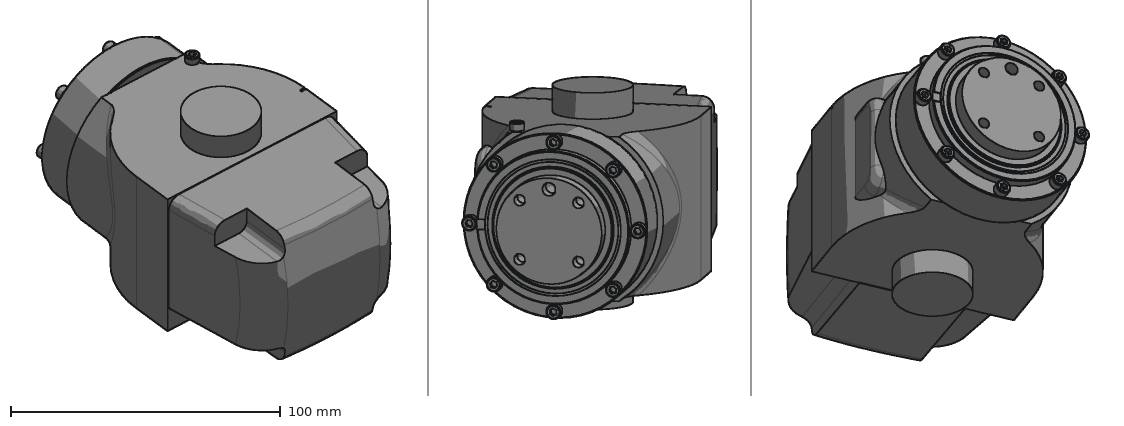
import cadquery as cq
import math


flange_face = -72.0
seal_face = -66.1
ring_face = -65.7
screw_face = -65.1
cover_face = -61.8
arm_face = -44.6
barrel_end = 18.0
housing_end = 66.0

barrel_radius = 41.0
barrel_height = 62.1
trunnion_diameter = 30.0
trunnion_span = 82.0
arm_diameter = 74.2
arm_blend = 4.1
mark_width = 1.0
mark_length = 2.2
mark_depth = 0.7

flange_diameter = 40.0
cover_diameter = 70.0
ring_diameter = 58.0
edge_chamfer = 0.4
groove_depth = 0.4
outer_groove = (51.6, 49.7)
inner_groove = (46.2, 45.4)
seal_chamfer = 0.3
key_width = 3.9
bolt_offset = 11.2
bolt_hole_diameter = 4.1
dowel_hole_diameter = 5.0
flange_hole_depth = 5.5
drill_tip_angle = 118.0

screw_diameter = 5.5
socket_diameter = 2.9
socket_depth = 2.1
cover_screw_count = 8
cover_screw_circle = cover_diameter - screw_diameter - edge_chamfer
arm_screw_x = -39.7
arm_screw_y = 19.6
arm_screw_height = 3.0

pad_start = -32.4
pad_end = -11.0
pad_face = 38.1
pad_base = 27.6
pad_height = 41.7
pad_corner = 8.5
pad_edge = 3.9

housing_half_width = 40.3
housing_far_half_width = 33.1
housing_half_height = 30.8
housing_far_half_height = 30.0
housing_rim_x = 61.8
end_plan_radius = 220.8
housing_corner = 14.5
housing_edge = 5.0
notch_start = 40.3
notch_wall_y = 21.4
notch_floor_z = 20.5
notch_blend = 3.9


def disc(diameter, start, end):
    """Solid disc on the output axis between two X positions."""
    return cq.Workplane("YZ", origin=(start, 0, 0)).circle(diameter / 2).extrude(end - start)


def face_groove(diameters, face):
    """Ring-shaped cutter sunk into a face of the output end."""
    outer, inner = diameters
    return disc(outer, face, face + groove_depth).cut(disc(inner, face, face + groove_depth))


def cap_screw(height):
    """Screw head standing on Z = 0 with a hexagon socket in its top."""
    head = cq.Workplane("XY").circle(screw_diameter / 2).extrude(height)
    head = head.faces(">Z").chamfer(edge_chamfer)
    socket = cq.Workplane("XY", origin=(0, 0, height)).polygon(6, socket_diameter).extrude(-socket_depth)
    return head.cut(socket)


def drilled_hole(diameter, y, z):
    """Blind hole cutter with a drill point, entering the flange face."""
    radius = diameter / 2
    tip_depth = flange_hole_depth + radius / math.tan(math.radians(drill_tip_angle / 2))
    profile = [(0, 0), (radius, 0), (radius, flange_hole_depth), (0, tip_depth)]
    tool = cq.Workplane("XY").polyline(profile).close().revolve(360, (0, 0), (0, 1))
    return tool.rotate((0, 0, 0), (0, 0, 1), -90).translate((flange_face, y, z))


def make_body():
    """Barrel with a square back, blended into the arm and trimmed to height."""
    tall = 2 * arm_diameter
    barrel = (
        cq.Workplane("XY", origin=(0, 0, -tall / 2))
        .moveTo(barrel_end, -barrel_radius)
        .lineTo(0, -barrel_radius)
        .threePointArc((-barrel_radius, 0), (0, barrel_radius))
        .lineTo(barrel_end, barrel_radius)
        .close()
        .extrude(tall)
    )
    joint = cq.selectors.BoxSelector(
        (arm_face + arm_blend, -barrel_radius, -barrel_radius),
        (-arm_blend, barrel_radius, barrel_radius),
    )
    body = barrel.union(disc(arm_diameter, arm_face, 0)).edges(joint).fillet(arm_blend)
    slab = cq.Workplane("XY").box(4 * barrel_radius, 4 * barrel_radius, barrel_height)
    return body.intersect(slab)


def make_pad():
    """Rounded pad on the side of the arm, running back into the barrel."""
    return (
        cq.Workplane("XY")
        .box(pad_end - pad_start, pad_face - pad_base, pad_height)
        .translate(((pad_start + pad_end) / 2, (pad_face + pad_base) / 2, 0))
        .edges("|Y and <X")
        .fillet(pad_corner)
        .faces(">Y")
        .edges("not >X")
        .fillet(pad_edge)
    )


def housing_plan():
    """Tapered block between the flat sides of the housing."""
    return (
        cq.Workplane("XY", origin=(0, 0, -barrel_height / 2))
        .moveTo(barrel_end, -housing_half_width)
        .lineTo(housing_end, -housing_far_half_width)
        .lineTo(housing_end, housing_far_half_width)
        .lineTo(barrel_end, housing_half_width)
        .close()
        .extrude(barrel_height)
    )


def housing_side():
    """Side outline swung about a far vertical axis, so the end bulges both ways."""
    axis_x = housing_end - end_plan_radius
    swing = 2 * math.degrees(math.asin(barrel_radius / (barrel_end - axis_x)))
    return (
        cq.Workplane("XZ", origin=(axis_x, 0, 0))
        .moveTo(barrel_end - axis_x, -housing_half_height)
        .lineTo(housing_rim_x - axis_x, -housing_far_half_height)
        .threePointArc((end_plan_radius, 0), (housing_rim_x - axis_x, housing_far_half_height))
        .lineTo(barrel_end - axis_x, housing_half_height)
        .close()
        .revolve(swing, (0, 0), (0, 1))
        .rotate((axis_x, 0, 0), (axis_x, 0, 1), -swing / 2)
    )


def edge_notch(start):
    """Notch cutter along the upper +Y edge of the housing, with a round inner corner."""
    size = barrel_radius
    return (
        cq.Workplane("XY")
        .box(housing_end - start, size, size, centered=False)
        .edges("|X and <Y and <Z")
        .fillet(notch_blend)
        .translate((start, notch_wall_y, notch_floor_z))
    )


def make_housing():
    """Motor housing with rounded corners and rims, notched along its long edges."""
    housing = housing_plan().intersect(housing_side())
    end_corners = cq.selectors.BoxSelector(
        (notch_start, -housing_half_width, -notch_floor_z),
        (housing_end, housing_half_width, notch_floor_z),
    )
    housing = housing.edges(end_corners).fillet(housing_corner)
    for side in (-1, 1):
        rim = cq.selectors.BoxSelector(
            (barrel_end + housing_edge, -barrel_radius, side * notch_floor_z),
            (housing_end, barrel_radius, side * barrel_height / 2),
        )
        housing = housing.edges(rim).fillet(housing_edge)
    for cutter in (edge_notch(notch_start), edge_notch(barrel_end).mirror("XY")):
        housing = housing.cut(cutter).cut(cutter.mirror("XZ"))
    return housing


def make_output_end():
    """Cover, ring, seal and drilled flange."""
    cover = disc(cover_diameter, cover_face, arm_face).edges().chamfer(edge_chamfer)
    ring = disc(ring_diameter, ring_face, cover_face).faces("<X").chamfer(edge_chamfer)
    seal = disc(inner_groove[1], seal_face, ring_face).faces("<X").chamfer(seal_chamfer)
    end = cover.union(ring).union(seal)
    end = end.cut(face_groove(outer_groove, ring_face))
    end = end.cut(face_groove(inner_groove, ring_face))
    key_length = (ring_diameter - outer_groove[0]) / 2
    key = cq.Workplane("XY").box(2 * groove_depth, key_length, key_width)
    end = end.cut(key.translate((ring_face, (ring_diameter - key_length) / 2, 0)))
    end = end.union(disc(flange_diameter, flange_face, seal_face))
    for y in (-bolt_offset, bolt_offset):
        for z in (-bolt_offset, bolt_offset):
            end = end.cut(drilled_hole(bolt_hole_diameter, y, z))
    return end.cut(drilled_hole(dowel_hole_diameter, 0, bolt_offset * math.sqrt(2)))


def make_cover_screws():
    """Ring of cap screws on the cover, heads facing -X."""
    head = cap_screw(cover_face - screw_face).rotate((0, 0, 0), (0, 1, 0), -90)
    head = head.translate((cover_face, 0, cover_screw_circle / 2))
    screws = cq.Workplane("XY")
    for index in range(cover_screw_count):
        angle = index * 360 / cover_screw_count
        screws = screws.union(head.rotate((0, 0, 0), (1, 0, 0), angle))
    return screws


def make_mark():
    """Index mark cutter in the top rim of the barrel."""
    mark = cq.Workplane("XY").box(mark_width, 2 * mark_length, 2 * mark_depth)
    return mark.translate((0, barrel_radius, barrel_height / 2))


trunnions = (
    cq.Workplane("XY", origin=(0, 0, -trunnion_span / 2))
    .circle(trunnion_diameter / 2)
    .extrude(trunnion_span)
)
arm_screw = cap_screw(arm_screw_height).translate((arm_screw_x, arm_screw_y, barrel_height / 2))

result = make_body().union(make_pad()).union(trunnions).union(make_housing())
result = result.union(make_output_end()).union(make_cover_screws()).union(arm_screw).cut(make_mark())